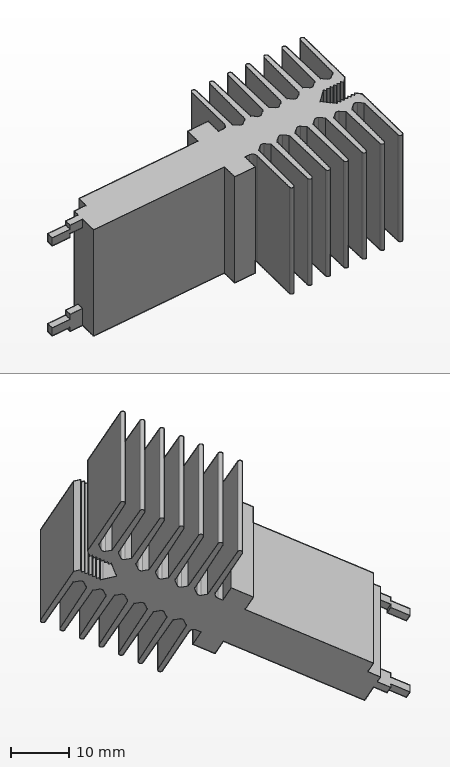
import cadquery as cq
import math


HEIGHT = 25.0
TOTAL_LENGTH = 63.85

FIN_COUNT = 7
FIN_ROW_LENGTH = 22.85
FIN_PITCH = FIN_ROW_LENGTH / (FIN_COUNT - 1)
FIN_REACH = 15.0
TIP_HALF = 0.45
ROOT_HALF = 0.605

GULLET_FLAT_X = 0.75
GULLET_FLAT_Y = 0.9
WIDE_ROOT_X = 4.65
NARROW_ROOT_X = 3.9
WIDE_GULLETS = 2

SLOT_HALF = 1.65
TOOTH_COUNT = 6
TOOTH_ROW_LENGTH = 4.4
TOOTH_PITCH = TOOTH_ROW_LENGTH / TOOTH_COUNT
SLOT_DEPTH = 7.0
SLOT_CHAMFER = 0.9

BODY_HALF = 3.95
BODY_END_Y = -57.45
LAST_FIN_FILLET = 0.9
FLANGE_HALF = 7.0
FLANGE_TOP_Y = -25.6
FLANGE_BOTTOM_Y = -29.95

STEP_X = -1.85
STEP_LENGTH = 2.5

PIN_WIDTH = 1.35
PIN_SHOULDER_LENGTH = 2.6
PIN_TIP_HEIGHT = 1.9
PIN_INSET = 0.95
UPPER_SHOULDER_HEIGHT = 2.0
LOWER_SHOULDER_HEIGHT = 4.0


def fin_y(index):
    """Centre line of a fin, counted from the slotted end."""
    return -TIP_HALF - index * FIN_PITCH


def add_slot(outline):
    """Half of the slot, from its pointed bottom out to the end face."""
    for tooth in range(TOOTH_COUNT, 0, -1):
        crest_y = -SLOT_CHAMFER - tooth * TOOTH_PITCH
        outline = outline.lineTo(SLOT_HALF, crest_y)
        outline = outline.lineTo(SLOT_HALF + TOOTH_PITCH / 2, crest_y + TOOTH_PITCH / 2)
    outline = outline.lineTo(SLOT_HALF, -SLOT_CHAMFER)
    return outline.lineTo(SLOT_HALF + SLOT_CHAMFER, 0)


def add_fin_tip(outline, y):
    """Upper fin face and the full round at the tip."""
    straight_end = FIN_REACH - TIP_HALF
    outline = outline.lineTo(straight_end, y + TIP_HALF)
    return outline.threePointArc((FIN_REACH, y), (straight_end, y - TIP_HALF))


def add_gullet(outline, index):
    """Lower face of one fin and the gullet leading to the root of the next."""
    root_x = WIDE_ROOT_X if index < WIDE_GULLETS else NARROW_ROOT_X
    upper_y = fin_y(index) - ROOT_HALF
    lower_y = fin_y(index + 1) + ROOT_HALF
    arc_x = root_x - GULLET_FLAT_X
    arc_half = (upper_y - lower_y) / 2 - GULLET_FLAT_Y
    flat_angle = math.atan2(GULLET_FLAT_X, GULLET_FLAT_Y)
    arc_depth = arc_half * math.tan(flat_angle / 2)
    outline = outline.lineTo(root_x, upper_y)
    outline = outline.lineTo(arc_x, upper_y - GULLET_FLAT_Y)
    outline = outline.threePointArc(
        (arc_x - arc_depth, (upper_y + lower_y) / 2),
        (arc_x, lower_y + GULLET_FLAT_Y),
    )
    return outline.lineTo(root_x, lower_y)


def make_half_profile():
    """The +X half of the extrusion."""
    outline = add_slot(cq.Workplane("XY").moveTo(0, -SLOT_DEPTH))
    for index in range(FIN_COUNT):
        outline = add_fin_tip(outline, fin_y(index))
        if index < FIN_COUNT - 1:
            outline = add_gullet(outline, index)

    last_face_y = fin_y(FIN_COUNT - 1) - TIP_HALF
    outline = (
        outline.lineTo(BODY_HALF + LAST_FIN_FILLET, last_face_y)
        .radiusArc((BODY_HALF, last_face_y - LAST_FIN_FILLET), -LAST_FIN_FILLET)
        .lineTo(BODY_HALF, FLANGE_TOP_Y)
        .lineTo(FLANGE_HALF, FLANGE_TOP_Y)
        .lineTo(FLANGE_HALF, FLANGE_BOTTOM_Y)
        .lineTo(BODY_HALF, FLANGE_BOTTOM_Y)
        .lineTo(BODY_HALF, BODY_END_Y)
        .lineTo(0, BODY_END_Y)
        .close()
    )
    return outline.extrude(HEIGHT)


def make_block(x_range, y_range, z_range):
    """Box between the given lower and upper bounds."""
    corner = (x_range[0], y_range[0], z_range[0])
    sizes = [high - low for low, high in (x_range, y_range, z_range)]
    return cq.Workplane("XY").box(*sizes, centered=False).translate(corner)


def make_pin(shoulder_z, tip_z):
    """Shoulder against the body with an offset tip beyond it."""
    x_range = (-PIN_WIDTH / 2, PIN_WIDTH / 2)
    shoulder_end_y = BODY_END_Y - PIN_SHOULDER_LENGTH
    shoulder = make_block(x_range, (shoulder_end_y, BODY_END_Y), shoulder_z)
    tip = make_block(x_range, (-TOTAL_LENGTH, shoulder_end_y), tip_z)
    return shoulder.union(tip)


half = make_half_profile()
heat_sink = half.union(half.mirror("YZ"))

corner_step = make_block(
    (-BODY_HALF, STEP_X), (BODY_END_Y, BODY_END_Y + STEP_LENGTH), (0, HEIGHT)
)
lower_pin = make_pin(
    (0, LOWER_SHOULDER_HEIGHT),
    (PIN_INSET, PIN_INSET + PIN_TIP_HEIGHT),
)
upper_pin = make_pin(
    (HEIGHT - UPPER_SHOULDER_HEIGHT, HEIGHT),
    (HEIGHT - PIN_INSET - PIN_TIP_HEIGHT, HEIGHT - PIN_INSET),
)

result = heat_sink.cut(corner_step).union(lower_pin).union(upper_pin).clean()